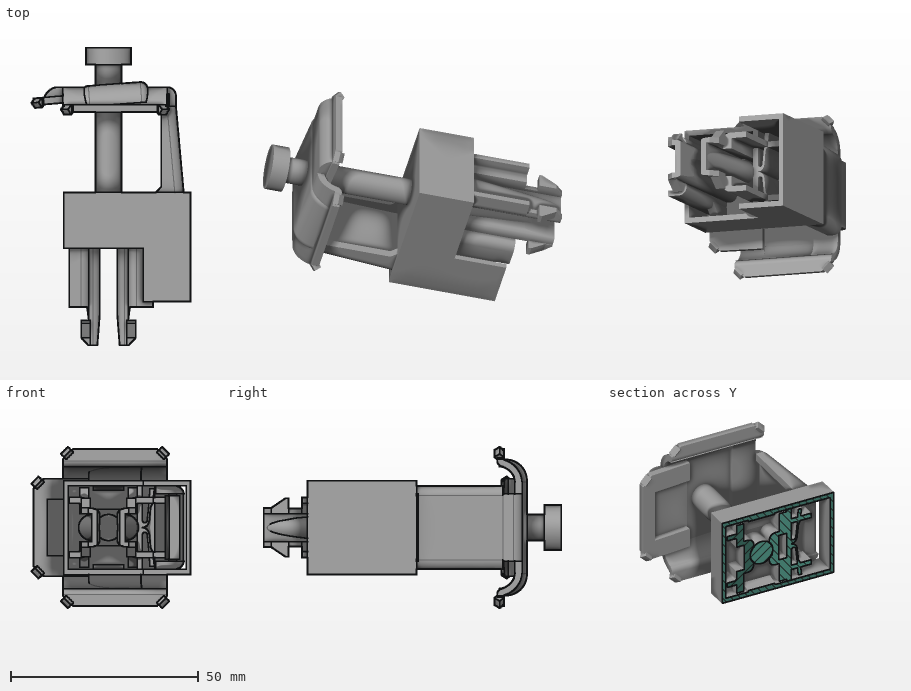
import cadquery as cq
import math


shaft_radius = 3.5
head_radius = 6.0
head_back = 38.5
head_length = 4.5
screw_end = -11.9

housing_left = -12.0
housing_right = 21.9
housing_half_height = 12.5
side_wall = 1.2
flat_wall = 1.4
short_depth = 14.9
long_depth = 29.1
step_x = 9.2
arm_opening_x = 12.3
screw_pocket_half_width = 5.2
screw_pocket_half_height = 4.9
screw_pocket_depth = 0.5
catch_half_width = 4.1
catch_height = 1.2
catch_front = -7.9
catch_peak = -3.2

jaw_tip = -40.7
rail_end = -30.6
rail_inner_z = 6.5
rail_outer_z = 8.0
rail_fillet = 0.5
leg_inner_x = 5.2
leg_outer_x = 7.6
leg_inner_z = 3.7
leg_round = 2.1
left_rail_reach = 10.45
right_rail_reach = 11.9
right_rail_back_reach = 15.05
prong_inner_x = 2.3
prong_half_height = 5.1
prong_round = 1.9
prong_face_x = 4.4
tip_relief_start = -32.5
tip_relief = 0.6
ridge_start = -39.6
ridge_full = -14.9
hook_back = -34.1
hook_land = 0.8
hook_front = -38.75
hook_reach_z = 7.85
hook_tip_z = 5.2
hook_inner_x = 4.9
hook_outer_x = 7.3
hook_tip_bevel = 1.9
flare_front = -11.1
flare_peak = -6.3
flare_z = 10.6

spring_base_x = 9.0
spring_root_x = 10.3
spring_slot = 1.3
spring_outer_curve = [(10.3, 0.55), (11.0, 3.25), (11.7, 6.4)]
spring_end_inner = (11.0, 10.3)
spring_end_outer = (12.2, 10.3)
spring_inner_bend = (10.8, 6.4)

sheet = 1.9
bracket_left = -12.1
bracket_right = 15.6
panel_back = 28.05
panel_half_height = 12.2
curl_half_height = 18.15
mouth_round = 1.6
flange_back = 23.3
flange_half_height = 20.9
swage_left = -7.3
swage_right = 10.4
swage_height = 0.7
swage_tilt = 4.3
swage_round = 1.9
swage_void_half_height = 16.1
tab_left = -19.9
tab_right = -5.15
tab_half_height = 13.0
tab_front = 23.1
tab_tilt = 4.8
tab_curl_x = -13.95
tab_curl_middle = (-15.9, 27.0)
notch_left = -16.25
notch_half_height = 7.5
corner_cut = 2.7
ear_inset = corner_cut / 2
ear_width = 2.7
ear_length = 1.8
ear_fold = 40.0

arm_flange = 2.1
arm_flange_x = 14.0
arm_top_x = 18.0
arm_bottom_x = 20.05
arm_flange_top = 23.0
arm_web_end = 0.4
arm_foot_end = -0.95
arm_foot_x = 12.6
arm_foot_top = 1.5
arm_round = 2.45
pad_half_height = 8.4
pad_top_x = 15.05
pad_inner_x = 16.2
pad_outer_x = 18.9
pad_top_outer_x = 17.4

cavity_half_height = housing_half_height - flat_wall
back_wall = -flat_wall


def block(x0, x1, y0, y1, z0, z1):
    """Box between two opposite corners."""
    return cq.Workplane("XY").box(x1 - x0, y1 - y0, z1 - z0, centered=False).translate((x0, y0, z0))


def yz_prism(points, x0, x1):
    """Polygon of (Y, Z) points extruded along X from x0 to x1."""
    return cq.Workplane("YZ").workplane(offset=x0).polyline(points).close().extrude(x1 - x0)


def xy_prism(points, z0, z1):
    """Polygon of (X, Y) points extruded along Z from z0 to z1."""
    return cq.Workplane("XY").workplane(offset=z0).polyline(points).close().extrude(z1 - z0)


def y_rod(radius, y0, y1):
    """Cylinder on the screw axis from y0 up to y1."""
    return cq.Workplane("XZ", origin=(0, y1, 0)).circle(radius).extrude(y1 - y0)


def with_mirror_z(body):
    """The body together with its copy below the XY plane."""
    return body.union(body.mirror("XY"))


def make_screw():
    head = y_rod(head_radius, head_back - head_length, head_back)
    return head.union(y_rod(shaft_radius, screw_end, head_back - head_length))


def make_housing():
    half = housing_half_height
    outline = [
        (housing_left, 0),
        (housing_right, 0),
        (housing_right, -long_depth),
        (step_x, -long_depth),
        (step_x, -short_depth),
        (housing_left, -short_depth),
    ]
    shell = xy_prism(outline, -half, half)
    inner_right = housing_right - side_wall
    cavity = block(
        housing_left + side_wall, inner_right, -long_depth, back_wall, -cavity_half_height, cavity_half_height
    )
    arm_opening = block(arm_opening_x, inner_right, back_wall, 0, -cavity_half_height, cavity_half_height)
    screw_pocket = block(
        -screw_pocket_half_width,
        screw_pocket_half_width,
        back_wall,
        back_wall + screw_pocket_depth,
        -screw_pocket_half_height,
        screw_pocket_half_height,
    )
    catch = yz_prism(
        [
            (catch_front, cavity_half_height),
            (catch_peak, cavity_half_height - catch_height),
            (catch_peak, cavity_half_height),
        ],
        -catch_half_width,
        catch_half_width,
    )
    body = shell.cut(cavity).cut(arm_opening).cut(screw_pocket)
    return body.cut(y_rod(shaft_radius, back_wall, 0)).union(with_mirror_z(catch))


def make_rails(reach, y0):
    """Two thin rails that stand out from the leg, each with a fillet on its inner side."""
    diagonal = rail_fillet * (1 - math.sqrt(0.5))
    rail = (
        cq.Workplane("XZ", origin=(0, back_wall, 0))
        .moveTo(leg_outer_x, rail_outer_z)
        .lineTo(reach, rail_outer_z)
        .lineTo(reach, rail_inner_z)
        .lineTo(leg_outer_x + rail_fillet, rail_inner_z)
        .threePointArc(
            (leg_outer_x + diagonal, rail_inner_z - diagonal), (leg_outer_x, rail_inner_z - rail_fillet)
        )
        .close()
        .extrude(back_wall - y0)
    )
    return with_mirror_z(rail)


def make_ridge():
    """Half-round ridge on the outer face, growing from the tip toward the rear."""
    rise_angle = math.degrees(math.atan2(shaft_radius, ridge_full - ridge_start))
    rod = (
        y_rod(shaft_radius, 2 * ridge_start, -ridge_start)
        .rotate((0, 0, 0), (0, 0, 1), -rise_angle)
        .translate((prong_face_x, ridge_full, 0))
    )
    return rod.intersect(
        block(prong_face_x, left_rail_reach, jaw_tip, ridge_full, -leg_inner_z, leg_inner_z)
    )


def make_hook():
    profile = [
        (hook_back, leg_inner_z),
        (hook_back, hook_reach_z),
        (hook_back - hook_land, hook_reach_z),
        (hook_front, hook_tip_z),
        (jaw_tip, hook_tip_z),
        (jaw_tip, leg_inner_z),
    ]
    hook = yz_prism(profile, hook_inner_x, hook_outer_x)
    bevel = [
        (hook_outer_x, hook_front),
        (hook_outer_x, jaw_tip),
        (hook_outer_x - hook_tip_bevel, jaw_tip),
    ]
    return hook.cut(xy_prism(bevel, 0, hook_reach_z))


def make_prong():
    prong = block(prong_inner_x, leg_inner_x, jaw_tip, back_wall, -prong_half_height, prong_half_height)
    prong = prong.edges("|Y and <X").fillet(prong_round)
    face_recess = block(prong_face_x, leg_inner_x, jaw_tip, -short_depth, -leg_inner_z, leg_inner_z)
    relief = [
        (prong_inner_x, tip_relief_start),
        (prong_inner_x, jaw_tip),
        (prong_inner_x + tip_relief, jaw_tip),
    ]
    return prong.cut(face_recess).cut(xy_prism(relief, -prong_half_height, prong_half_height))


def make_leg():
    """Pair of strips that join the prong to the rails, flared near the rear wall."""
    strip = block(leg_inner_x, leg_outer_x, rail_end, back_wall, leg_inner_z, rail_outer_z)
    strip = strip.edges("|Y and <X and >Z").fillet(leg_round)
    flare = yz_prism(
        [
            (flare_front, rail_inner_z),
            (flare_peak, flare_z),
            (back_wall, flare_z),
            (back_wall, rail_inner_z),
        ],
        leg_inner_x,
        leg_outer_x,
    )
    return with_mirror_z(strip.union(flare))


def make_screw_groove():
    """Groove around the shaft that narrows in front of the screw end."""
    cone = cq.Workplane(
        cq.Solid.makeCone(
            shaft_radius,
            prong_inner_x,
            screw_end - ridge_start,
            pnt=cq.Vector(0, screw_end, 0),
            dir=cq.Vector(0, -1, 0),
        )
    )
    return y_rod(shaft_radius, screw_end, back_wall).union(cone)


def make_jaw(rail_reach):
    body = make_prong().union(make_leg()).union(make_rails(rail_reach, rail_end))
    body = body.union(make_ridge()).union(with_mirror_z(make_hook()))
    return body.cut(make_screw_groove())


def make_springs():
    """Upright plate with two spring arms that branch off its middle."""
    half = cavity_half_height
    plate = block(leg_outer_x, spring_base_x, -short_depth, back_wall, -half, half)
    slot_radius = (spring_root_x - spring_base_x) / 2
    upper_arm = (
        cq.Workplane("XZ", origin=(0, back_wall, 0))
        .moveTo(spring_base_x, 0)
        .spline(spring_outer_curve, includeCurrent=True)
        .lineTo(*spring_end_outer)
        .lineTo(*spring_end_inner)
        .lineTo(*spring_inner_bend)
        .lineTo(spring_root_x, spring_slot + slot_radius)
        .threePointArc(
            (spring_base_x + slot_radius, spring_slot), (spring_base_x, spring_slot + slot_radius)
        )
        .close()
        .extrude(short_depth - flat_wall)
    )
    return plate.union(with_mirror_z(upper_arm))


def make_right_jaw():
    body = make_jaw(right_rail_reach)
    return body.union(make_rails(right_rail_back_reach, -short_depth)).union(make_springs())


def hat(back, front, flat_half, curl_half, x0, x1):
    """Solid with a flat back and rounded upper and lower sides, from x0 to x1."""
    diagonal = math.sqrt(0.5)
    mid_y = front + (back - front) * diagonal
    mid_z = flat_half + (curl_half - flat_half) * diagonal
    return (
        cq.Workplane("YZ")
        .workplane(offset=x0)
        .moveTo(front, -curl_half)
        .threePointArc((mid_y, -mid_z), (back, -flat_half))
        .lineTo(back, flat_half)
        .threePointArc((mid_y, mid_z), (front, curl_half))
        .close()
        .extrude(x1 - x0)
    )


def make_ear(x_side, z_side, corner_x, corner_y, corner_z):
    """Small lug folded forward at a corner; corner_y is the back face of the sheet."""
    lug = block(0, ear_length, -sheet, 0, -ear_width / 2, ear_width / 2)
    lug = lug.rotate((0, 0, 0), (0, 0, 1), -ear_fold)
    lug = lug.rotate((0, 0, 0), (0, 1, 0), -math.degrees(math.atan2(z_side, x_side)))
    return lug.translate((corner_x - x_side * ear_inset, corner_y, z_side * (corner_z - ear_inset)))


def panel_hollow():
    """Space in front of the panel, between its curled sides, with the mouth rounded outward."""
    flange_front = flange_back - sheet
    mouth_half = curl_half_height - sheet
    hollow = hat(panel_back - sheet, flange_front, panel_half_height, mouth_half, bracket_left, bracket_right)
    diagonal = mouth_round * (1 - math.sqrt(0.5))
    mouth = (
        cq.Workplane("YZ")
        .workplane(offset=bracket_left)
        .moveTo(flange_front, mouth_half)
        .lineTo(flange_front, mouth_half + mouth_round)
        .threePointArc(
            (flange_front + diagonal, mouth_half + diagonal), (flange_front + mouth_round, mouth_half)
        )
        .close()
        .extrude(bracket_right - bracket_left)
    )
    return hollow.union(with_mirror_z(mouth))


def make_panel():
    """Flat panel with curled upper and lower sides that end in flanges."""
    flange_front = flange_back - sheet
    shell = hat(panel_back, flange_front, panel_half_height, curl_half_height, bracket_left, bracket_right)
    flange = block(
        bracket_left, bracket_right, flange_front, flange_back, curl_half_height - sheet, flange_half_height
    )
    flange = flange.edges("|Y and >Z").chamfer(corner_cut)
    for x_side, corner_x in ((-1, bracket_left), (1, bracket_right)):
        flange = flange.union(make_ear(x_side, 1, corner_x, flange_back, flange_half_height))
    return shell.union(with_mirror_z(flange)).cut(panel_hollow())


def tilt(body, angle):
    """Turns the body about the Z direction through the middle of the panel."""
    return body.rotate((0, panel_back, 0), (0, panel_back, 1), angle)


def add_swage(panel):
    """Presses the middle of the panel backward, which leaves a trough on its front."""
    ridge = hat(
        panel_back + swage_height, flange_back, panel_half_height, curl_half_height, swage_left, swage_right
    )
    ridge = ridge.edges("<X or >X").edges("not(<Y)").fillet(swage_round)
    trough = hat(
        panel_back + swage_height - sheet,
        flange_back - sheet,
        panel_half_height,
        swage_void_half_height,
        swage_left + sheet,
        swage_right - sheet,
    )
    return panel.union(tilt(ridge, swage_tilt).cut(panel_hollow())).cut(tilt(trough, swage_tilt))


def make_tab():
    """Notched side tab that curls forward from the panel."""
    tab_back = tab_front + sheet
    plate = block(tab_left, tab_right, tab_front, tab_back, -tab_half_height, tab_half_height)
    plate = plate.edges("|Y and <X").chamfer(corner_cut)
    notch = block(notch_left, tab_right, tab_front, tab_back, -notch_half_height, notch_half_height)
    plate = plate.cut(notch)
    for z_side in (-1, 1):
        plate = plate.union(make_ear(-1, z_side, tab_left, tab_back, tab_half_height))
    plate = plate.rotate((tab_left, tab_front, 0), (tab_left, tab_front, 1), tab_tilt)
    curl = (
        cq.Workplane("XY")
        .workplane(offset=-panel_half_height)
        .moveTo(tab_left + corner_cut, tab_back)
        .threePointArc(tab_curl_middle, (tab_curl_x, panel_back))
        .lineTo(tab_right, panel_back)
        .lineTo(tab_right, panel_back - sheet)
        .close()
        .extrude(2 * panel_half_height)
    )
    return plate.union(curl)


def slanted_strip(x_inset, y0, y1):
    """Outline between the edge of the arm flanges and its slanted outer face, moved in by x_inset."""
    slope = (arm_bottom_x - arm_top_x) / arm_flange_top
    return [
        (arm_foot_x, y0),
        (arm_bottom_x - slope * y0 - x_inset, y0),
        (arm_bottom_x - slope * y1 - x_inset, y1),
        (arm_foot_x, y1),
    ]


def make_arm():
    """Channel with a slanted, padded web; its two flanges end in feet inside the housing."""
    half = cavity_half_height
    inner_half = half - arm_flange
    channel = xy_prism(slanted_strip(0, arm_foot_end, arm_flange_top), -half, half)
    channel = channel.faces(">X").edges(">Z or <Z").fillet(arm_round)
    hollow = xy_prism(slanted_strip(sheet, arm_foot_end, arm_flange_top), -inner_half, inner_half)
    web_gap = block(arm_foot_x, housing_right, arm_foot_end, arm_web_end, -inner_half, inner_half)
    flange_edge = [
        (arm_foot_x, 0),
        (arm_flange_x, arm_foot_top),
        (arm_flange_x, arm_flange_top),
        (arm_foot_x, arm_flange_top),
    ]
    channel = channel.cut(hollow).cut(web_gap).cut(xy_prism(flange_edge, -half, half))
    pad = [
        (pad_top_x, arm_flange_top),
        (pad_inner_x, arm_web_end),
        (pad_inner_x, arm_foot_end),
        (pad_outer_x, arm_foot_end),
        (pad_outer_x, arm_web_end),
        (pad_top_outer_x, arm_flange_top),
    ]
    return channel.union(xy_prism(pad, -pad_half_height, pad_half_height))


def make_bend():
    """Curved strip that joins the panel to the web of the arm."""
    half = cavity_half_height - arm_flange
    radius = arm_top_x - bracket_right
    diagonal = radius * math.sqrt(0.5)
    center_y = panel_back - radius
    return (
        cq.Workplane("XY")
        .workplane(offset=-half)
        .moveTo(bracket_right, panel_back)
        .threePointArc((bracket_right + diagonal, center_y + diagonal), (arm_top_x, center_y))
        .lineTo(arm_top_x, arm_flange_top)
        .lineTo(arm_top_x - sheet, arm_flange_top)
        .lineTo(arm_top_x - sheet, panel_back - sheet)
        .lineTo(bracket_right, panel_back - sheet)
        .close()
        .extrude(2 * half)
    )


def make_bracket():
    body = add_swage(make_panel()).union(make_tab()).union(make_bend()).union(make_arm())
    return body.cut(y_rod(shaft_radius, 0, head_back))


screw = make_screw()
housing = make_housing()
left_jaw = make_jaw(left_rail_reach).mirror("YZ")
right_jaw = make_right_jaw()
bracket = make_bracket()
result = cq.Compound.makeCompound(
    [body.solids().val() for body in (screw, housing, left_jaw, right_jaw, bracket)]
)